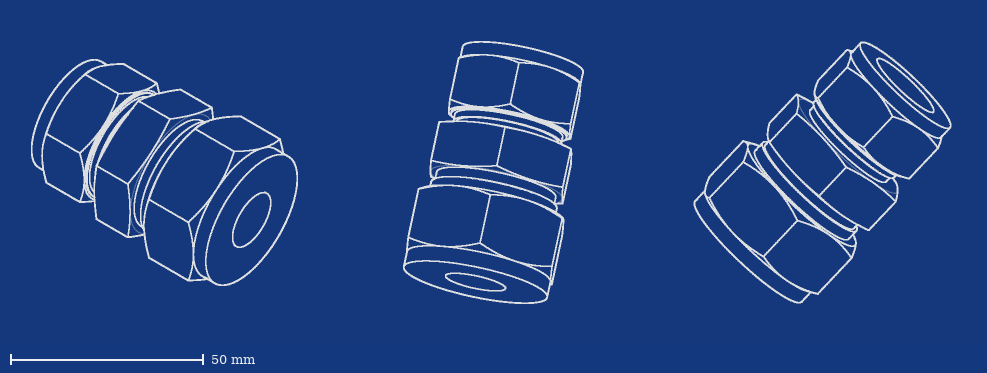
import cadquery as cq
import math

SMALL_HEX_START = 3.5
SMALL_HEX_END = 17.5
SMALL_SHOULDER_END = 17.9
SMALL_COLLAR_END = 19.75
BODY_HEX_START = 22.0
BODY_HEX_END = 33.9
LARGE_NECK_END = 36.75
LARGE_HEX_START = 39.75
LARGE_HEX_END = 56.2
TOTAL_LENGTH = 60.3

SMALL_NUT_FLATS = 32.0
BODY_FLATS = 34.925
LARGE_NUT_FLATS = 38.1

HEX_SIDES = 6

NUT_CHAMFER_ANGLE = 30.0
BODY_CHAMFER_ANGLE = 15.0

SMALL_SHOULDER_DIAMETER = 30.7
SMALL_COLLAR_DIAMETER = 28.6
SMALL_NECK_DIAMETER = 27.1
LARGE_NECK_DIAMETER = 31.6
LARGE_COLLAR_DIAMETER = 33.4

SOCKET_DIAMETER = 20.0
SOCKET_DEPTH = BODY_HEX_START
THROUGH_DIAMETER = 15.9


def cylinder(start, end, diameter):
    """Round section on the X axis between two stations."""
    return cq.Workplane("YZ", origin=(start, 0, 0)).circle(diameter / 2).extrude(end - start)


def chamfered_hexagon(start, end, flats, chamfer_angle):
    """Hexagon with corners up and down, both ends turned to cones that begin at the flats."""
    flat_radius = flats / 2
    corner_radius = flat_radius / math.cos(math.pi / HEX_SIDES)
    chamfer_length = (corner_radius - flat_radius) * math.tan(math.radians(chamfer_angle))

    hexagon = (
        cq.Workplane("YZ", origin=(start, 0, 0))
        .transformed(rotate=(0, 0, 90))
        .polygon(HEX_SIDES, 2 * corner_radius)
        .extrude(end - start)
    )
    turned_envelope = (
        cq.Workplane("XY")
        .moveTo(start, 0)
        .lineTo(start, flat_radius)
        .lineTo(start + chamfer_length, corner_radius)
        .lineTo(end - chamfer_length, corner_radius)
        .lineTo(end, flat_radius)
        .lineTo(end, 0)
        .close()
        .revolve(360, (0, 0, 0), (1, 0, 0))
    )
    return hexagon.intersect(turned_envelope)


def small_nut():
    """Nut at the small end, with its round outer lip and the thin shoulder behind it."""
    lip = cylinder(0, SMALL_HEX_START, SMALL_NUT_FLATS)
    hexagon = chamfered_hexagon(SMALL_HEX_START, SMALL_HEX_END, SMALL_NUT_FLATS, NUT_CHAMFER_ANGLE)
    shoulder = cylinder(SMALL_HEX_END, SMALL_SHOULDER_END, SMALL_SHOULDER_DIAMETER)
    return lip.union(hexagon).union(shoulder)


def body():
    """Central hexagon with a neck and collar towards each nut."""
    small_collar = cylinder(SMALL_SHOULDER_END, SMALL_COLLAR_END, SMALL_COLLAR_DIAMETER)
    small_neck = cylinder(SMALL_COLLAR_END, BODY_HEX_START, SMALL_NECK_DIAMETER)
    hexagon = chamfered_hexagon(BODY_HEX_START, BODY_HEX_END, BODY_FLATS, BODY_CHAMFER_ANGLE)
    large_neck = cylinder(BODY_HEX_END, LARGE_NECK_END, LARGE_NECK_DIAMETER)
    large_collar = cylinder(LARGE_NECK_END, LARGE_HEX_START, LARGE_COLLAR_DIAMETER)
    return small_collar.union(small_neck).union(hexagon).union(large_neck).union(large_collar)


def large_nut():
    """Nut at the large end, with its round outer lip."""
    hexagon = chamfered_hexagon(LARGE_HEX_START, LARGE_HEX_END, LARGE_NUT_FLATS, NUT_CHAMFER_ANGLE)
    lip = cylinder(LARGE_HEX_END, TOTAL_LENGTH, LARGE_NUT_FLATS)
    return hexagon.union(lip)


def stepped_bore():
    """Material removed along the axis."""
    socket = cylinder(0, SOCKET_DEPTH, SOCKET_DIAMETER)
    through_hole = cylinder(0, TOTAL_LENGTH, THROUGH_DIAMETER)
    return socket.union(through_hole)


result = small_nut().union(body()).union(large_nut()).cut(stepped_bore())